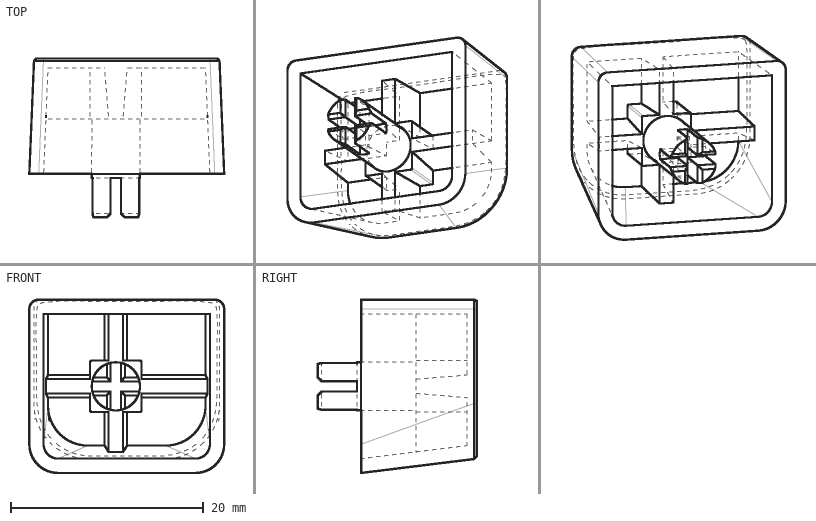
import cadquery as cq

RIM_WIDTH = 20.25
RIM_HEIGHT = 18.0
BODY_DEPTH = 11.99
BODY_OFFSET_X = 1.13
BACK_WIDTH = 19.25
BACK_RISE = 1.48
TOP_RADIUS = 1.0
RIM_BOTTOM_RADIUS = 3.0
BACK_BOTTOM_RADIUS = 5.85
BACK_CHAMFER = 0.3

WALL = 1.5
BACK_WALL = 1.0
CAVITY_DEPTH = BODY_DEPTH - BACK_WALL

STEM_DIAMETER = 5.0
STEM_PROJECTION = 4.52
SLOT_WIDTH = 1.05
SLOT_LENGTH = 4.07
SLOT_CHAMFER = 0.4

RIB_START = 5.67
RIB_FRONT_WIDTH = 1.48
RIB_BACK_WIDTH = 2.35
BOSS_SIZE = 5.33
BOSS_CORNER_RADIUS = 0.16

BODY_TOP = RIM_HEIGHT / 2


def plane_at(y):
    """Sketch plane at depth y, with local axes X and Z and normal -Y."""
    return cq.Workplane("XZ", origin=(0, y, 0))


def section(y, inset, top_radius):
    """Tapered body section at depth y, moved inward by inset."""
    back_fraction = y / BODY_DEPTH
    half_width = (RIM_WIDTH + (BACK_WIDTH - RIM_WIDTH) * back_fraction) / 2 - inset
    radius_growth = (BACK_BOTTOM_RADIUS - RIM_BOTTOM_RADIUS) * back_fraction
    bottom_radius = RIM_BOTTOM_RADIUS + radius_growth - inset
    left = BODY_OFFSET_X - half_width
    right = BODY_OFFSET_X + half_width
    top = BODY_TOP - inset
    bottom = BODY_TOP - RIM_HEIGHT + BACK_RISE * back_fraction + inset

    outline = plane_at(y).moveTo(left + bottom_radius, bottom).lineTo(right - bottom_radius, bottom)
    outline = outline.radiusArc((right, bottom + bottom_radius), -bottom_radius)
    outline = outline.lineTo(right, top - top_radius)
    if top_radius > 0:
        outline = outline.radiusArc((right - top_radius, top), -top_radius)
    outline = outline.lineTo(left + top_radius, top)
    if top_radius > 0:
        outline = outline.radiusArc((left, top - top_radius), -top_radius)
    outline = outline.lineTo(left, bottom + bottom_radius)
    outline = outline.radiusArc((left + bottom_radius, bottom), -bottom_radius).close()
    return outline.val()


def tapered_solid(depth, inset, top_radius):
    """Straight-sided loft from the rim to the given depth."""
    wires = [section(0, inset, top_radius), section(depth, inset, top_radius)]
    return cq.Workplane(cq.Solid.makeLoft(wires, True))


def drafted_rib(vertical):
    """Rib that thickens toward the back, long enough to cross the whole body."""
    length = 2 * RIM_WIDTH

    def rib_section(y, width):
        size = (width, length) if vertical else (length, width)
        return plane_at(y).rect(*size).val()

    wires = [rib_section(RIB_START, RIB_FRONT_WIDTH), rib_section(CAVITY_DEPTH, RIB_BACK_WIDTH)]
    return cq.Workplane(cq.Solid.makeLoft(wires, True))


def stem_slot(direction):
    """Slot across the stem tip with a chamfered mouth, running along X or Z."""
    half = SLOT_WIDTH / 2
    tip = -STEM_PROJECTION
    mouth = half + SLOT_CHAMFER
    points = [
        (half, tip + SLOT_LENGTH),
        (half, tip + SLOT_CHAMFER),
        (mouth, tip),
        (-mouth, tip),
        (-half, tip + SLOT_CHAMFER),
        (-half, tip + SLOT_LENGTH),
    ]
    along_z = cq.Workplane("XY").polyline(points).close().extrude(STEM_DIAMETER, both=True)
    if direction == "Z":
        return along_z
    return along_z.rotate((0, 0, 0), (0, 1, 0), 90)


outer = tapered_solid(BODY_DEPTH, 0, TOP_RADIUS).faces(">Y").chamfer(BACK_CHAMFER)
cavity = tapered_solid(CAVITY_DEPTH, WALL, 0)
cap = outer.cut(cavity)

boss = plane_at(CAVITY_DEPTH).rect(BOSS_SIZE, BOSS_SIZE).extrude(CAVITY_DEPTH - RIB_START)
boss = boss.edges("|Y").fillet(BOSS_CORNER_RADIUS)
supports = drafted_rib(True).union(drafted_rib(False)).intersect(cavity).union(boss)

stem = plane_at(CAVITY_DEPTH).circle(STEM_DIAMETER / 2).extrude(CAVITY_DEPTH + STEM_PROJECTION)
stem = stem.cut(stem_slot("X")).cut(stem_slot("Z"))

result = cap.union(supports).union(stem)